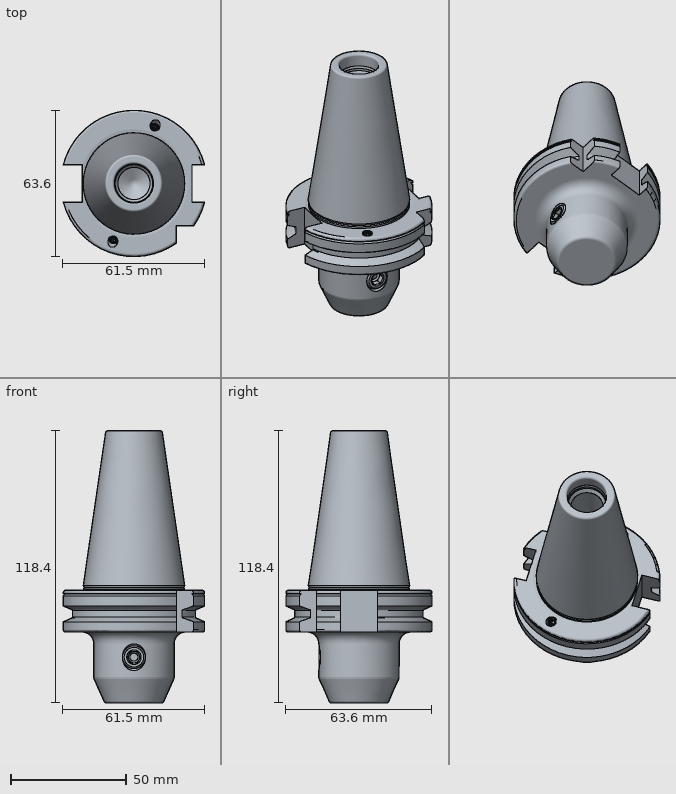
import cadquery as cq
import math

total_length = 118.4
flange_bottom = 30.9
flange_top = 49.1
gauge_height = 50.0

gauge_radius = 22.3
taper_per_height = 7 / 24 / 2
taper_bottom = 51.1
taper_end_round = 1.0
relief_radius = 21.7
relief_height = 50.2
root_collar_radius = 22.0
root_collar_height = 49.7

flange_diameter = 63.6
flange_radius = flange_diameter / 2
flange_bottom_round = 1.1
flange_top_round = 1.2
face_recess_depth = 0.2
face_recess_radius = 23.5
lip_bottom = 47.7
lip_groove_radius = 31.3
lip_groove_height = 47.4
lip_groove_bottom = 46.6

gripper_height = 38.8
gripper_floor_radius = 28.0
gripper_floor_half = 1.7
gripper_mouth_half = 3.4
gripper_round = 0.5

nose_radius = 17.5
nose_tip_radius = 12.7
nose_cone_top = 10.9
nose_neck_round = 5.0
nose_edge_round = 1.9
nose_tip_round = 1.4

slot_width = 16.1
slot_floor_left = 22.5
slot_floor_right = 25.2
notch_offset = 18.5

stud_bore_radius = 8.5
stud_bore_depth = 5.7
stud_bore_round = 1.0
neck_radius = 8.2
neck_top_depth = 6.7
neck_depth = 7.8
thread_radius = 7.0
thread_top_depth = 9.5
thread_depth = 29.6
drill_tip_half_angle = 59

socket_floor_ratio = 0.7
socket_mouth_ratio = 1.1
socket_mouth_angle = 30

clamp_height = 20.0
clamp_hole_radius = 5.0
clamp_sink_radius = 5.8
clamp_screw_chamfer = 0.7
clamp_screw_depth = 0.1
clamp_socket_flats = 5.0
clamp_socket_depth = 3.0

coolant_circle_radius = 26.9
coolant_direction = 70
coolant_tilt = 30
coolant_hole_radius = 2.1
coolant_screw_depth = 1.8
coolant_screw_chamfer = 0.4
coolant_socket_flats = 2.0
coolant_socket_depth = 1.8


def taper_radius(height):
    return gauge_radius - (height - gauge_height) * taper_per_height


def edges_at(body, radius, height):
    """Circular edges of the given radius and height around the part axis."""
    near = 0.06
    box = cq.selectors.BoxSelector(
        (-radius - near, -radius - near, height - near),
        (radius + near, radius + near, height + near),
        boundingbox=True,
    )
    return body.edges(box)


def make_nose():
    nose = (
        cq.Workplane("XZ")
        .moveTo(0, 0)
        .lineTo(nose_tip_radius, 0)
        .lineTo(nose_radius, nose_cone_top)
        .lineTo(nose_radius, flange_bottom - nose_neck_round)
        .radiusArc((nose_radius + nose_neck_round, flange_bottom), nose_neck_round)
        .lineTo(0, flange_bottom)
        .close()
        .revolve(360, (0, 0, 0), (0, 1, 0))
    )
    nose = edges_at(nose, nose_radius, nose_cone_top).fillet(nose_edge_round)
    return edges_at(nose, nose_tip_radius, 0).fillet(nose_tip_round)


def make_flange():
    flange = (
        cq.Workplane("XZ")
        .moveTo(0, flange_bottom)
        .lineTo(flange_radius, flange_bottom)
        .lineTo(flange_radius, gripper_height - gripper_mouth_half)
        .lineTo(gripper_floor_radius, gripper_height - gripper_floor_half)
        .lineTo(gripper_floor_radius, gripper_height + gripper_floor_half)
        .lineTo(flange_radius, gripper_height + gripper_mouth_half)
        .lineTo(flange_radius, lip_groove_bottom)
        .lineTo(lip_groove_radius, lip_groove_height)
        .lineTo(lip_groove_radius, lip_bottom)
        .lineTo(flange_radius, lip_bottom)
        .lineTo(flange_radius, flange_top)
        .lineTo(face_recess_radius, flange_top)
        .lineTo(root_collar_radius, flange_top - face_recess_depth)
        .lineTo(0, flange_top - face_recess_depth)
        .close()
        .revolve(360, (0, 0, 0), (0, 1, 0))
    )
    flange = edges_at(flange, flange_radius, flange_bottom).fillet(flange_bottom_round)
    flange = edges_at(flange, flange_radius, flange_top).fillet(flange_top_round)
    for side in (-1, 1):
        floor_edge = gripper_height + side * gripper_floor_half
        flange = edges_at(flange, gripper_floor_radius, floor_edge).fillet(gripper_round)
    return flange


def make_taper():
    end_radius = taper_radius(total_length)
    root_height = flange_top - face_recess_depth
    taper = (
        cq.Workplane("XZ")
        .moveTo(0, root_height)
        .lineTo(root_collar_radius, root_height)
        .lineTo(root_collar_radius, root_collar_height)
        .lineTo(relief_radius, relief_height)
        .lineTo(taper_radius(taper_bottom), taper_bottom)
        .lineTo(end_radius, total_length)
        .lineTo(0, total_length)
        .close()
        .revolve(360, (0, 0, 0), (0, 1, 0))
    )
    return edges_at(taper, end_radius, total_length).fillet(taper_end_round)


def flange_block(x_min, x_max, y_min, y_max):
    """Box through the full flange thickness."""
    return (
        cq.Workplane("XY", origin=(0, 0, flange_bottom))
        .moveTo((x_min + x_max) / 2, (y_min + y_max) / 2)
        .rect(x_max - x_min, y_max - y_min)
        .extrude(flange_top - flange_bottom)
    )


def cut_flange_openings(body):
    reach = flange_diameter
    half = slot_width / 2
    body = body.cut(flange_block(-reach, -slot_floor_left, -half, half))
    body = body.cut(flange_block(slot_floor_right, reach, -half, half))
    return body.cut(flange_block(notch_offset, reach, -reach, -notch_offset))


def make_stud_bore():
    tip_depth = thread_depth + thread_radius / math.tan(math.radians(drill_tip_half_angle))
    mouth_radius = stud_bore_radius + stud_bore_round
    return (
        cq.Workplane("XZ", origin=(0, 0, total_length))
        .moveTo(0, 0)
        .lineTo(mouth_radius, 0)
        .radiusArc((stud_bore_radius, -stud_bore_round), -stud_bore_round)
        .lineTo(stud_bore_radius, -stud_bore_depth)
        .lineTo(neck_radius, -neck_top_depth)
        .lineTo(neck_radius, -neck_depth)
        .lineTo(thread_radius, -thread_top_depth)
        .lineTo(thread_radius, -thread_depth)
        .lineTo(0, -tip_depth)
        .close()
        .revolve(360, (0, 0, 0), (0, 1, 0))
    )


def revolve_profile(points):
    """Solid of revolution about the Z axis from (radius, height) points."""
    return cq.Workplane("XZ").polyline(points).close().revolve(360, (0, 0, 0), (0, 1, 0))


def screw_recess(hole_radius, screw_depth, screw_chamfer, socket_flats, socket_depth, mouth_above):
    """Open space above a sunk set screw, mouth at Z = 0, with its edge chamfer and hex socket."""
    face_radius = hole_radius - screw_chamfer
    hole = revolve_profile([
        (0, mouth_above),
        (hole_radius, mouth_above),
        (hole_radius, -screw_depth - screw_chamfer),
        (face_radius, -screw_depth),
        (0, -screw_depth),
    ])
    corner_radius = socket_flats / math.sqrt(3)
    mouth_radius = corner_radius * socket_mouth_ratio
    mouth_drop = (mouth_radius - socket_flats / 2) * math.tan(math.radians(socket_mouth_angle))
    mouth = revolve_profile([
        (0, -screw_depth),
        (mouth_radius, -screw_depth),
        (socket_flats / 2, -screw_depth - mouth_drop),
        (0, -screw_depth - mouth_drop),
    ])
    socket = (
        cq.Workplane("XY", origin=(0, 0, -screw_depth))
        .polygon(6, 2 * corner_radius)
        .extrude(-socket_depth)
    )
    floor_radius = socket_floor_ratio * socket_flats / 2
    floor_drop = socket_flats / 2 - floor_radius
    socket_bottom = -screw_depth - socket_depth
    floor = revolve_profile([
        (0, socket_bottom),
        (socket_flats / 2, socket_bottom),
        (floor_radius, socket_bottom - floor_drop),
        (0, socket_bottom - floor_drop),
    ])
    return hole.union(mouth).union(socket).union(floor)


def make_clamp_screw_end():
    """Solid rod to the outermost point of the nose, so the flat screw end is a full disc."""
    rod_length = nose_radius / 2
    return (
        cq.Workplane("XZ", origin=(0, -nose_radius, clamp_height))
        .circle(clamp_hole_radius)
        .extrude(-rod_length)
    )


def make_clamp_recess():
    sink_width = clamp_sink_radius - clamp_hole_radius
    sink = revolve_profile([
        (clamp_hole_radius, sink_width),
        (clamp_sink_radius + sink_width, sink_width),
        (clamp_hole_radius, -sink_width),
    ])
    recess = screw_recess(
        clamp_hole_radius,
        clamp_screw_depth,
        clamp_screw_chamfer,
        clamp_socket_flats,
        clamp_socket_depth,
        sink_width,
    )
    recess = recess.union(sink).rotate((0, 0, 0), (1, 0, 0), 90)
    return recess.translate((0, -nose_radius, clamp_height))


def make_coolant_recess(direction):
    """Recess in the flange face whose axis leans inward as it goes down."""
    recess = screw_recess(
        coolant_hole_radius,
        coolant_screw_depth,
        coolant_screw_chamfer,
        coolant_socket_flats,
        coolant_socket_depth,
        coolant_hole_radius,
    )
    recess = recess.rotate((0, 0, 0), (0, 1, 0), coolant_tilt)
    recess = recess.translate((coolant_circle_radius, 0, flange_top))
    return recess.rotate((0, 0, 0), (0, 0, 1), direction)


result = make_nose().union(make_flange()).union(make_taper())
result = cut_flange_openings(result)
result = result.cut(make_stud_bore())
result = result.union(make_clamp_screw_end()).cut(make_clamp_recess())
for turn in (0, 180):
    result = result.cut(make_coolant_recess(coolant_direction + turn))